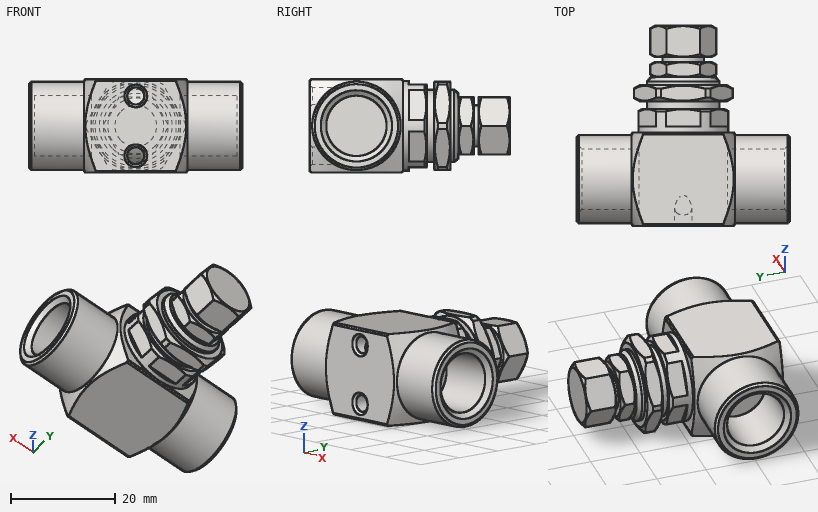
import cadquery as cq
import math

TAN30 = math.tan(math.radians(30))

overall_length = 41.0
overall_depth = 38.5
block_length = 19.95
block_side = 18.0
block_edge_chamfer = 0.35
port_diameter = 17.0
port_end_chamfer = 0.5
bore_diameter = 11.6
bore_mouth_diameter = 13.7
bore_mouth_depth = 1.02
bore_depth = 12.0

mount_hole_diameter = 3.3
mount_hole_mouth_diameter = 4.35
mount_hole_offset = 5.75
mount_hole_floor_diameter = 16.0

block_back = block_side / 2
collar_end = 10.1
body_hex_end = 13.55
nut_start = 14.92
nut_end = 18.12
thread_chamfer_start = 18.75
thread_end = 19.6
lock_nut_end = 22.55
knob_start = 23.45
spindle_end = overall_depth - block_side / 2

body_hex_flats = 15.95
collar_diameter = 17.3
body_hex_chamfer = 0.5
thread_diameter = 14.0
thread_tip_diameter = 12.5
panel_nut_flats = 17.0
panel_nut_diameter = 19.02
panel_nut_chamfer = 0.75
small_hex_flats = 11.03
small_hex_diameter = small_hex_flats / math.cos(math.radians(30))
small_hex_chamfer = 0.57
stem_diameter = 8.0


def turned_about_y(points):
    """Revolve a (radius, y) outline around the Y axis."""
    return cq.Workplane("XY").polyline(points).close().revolve(360, (0, 0), (0, 1))


def disc_y(diameter, start, end):
    """Plain cylinder along Y."""
    radius = diameter / 2
    return turned_about_y([(0, start), (radius, start), (radius, end), (0, end)])


def hex_nut(flats, corner_diameter, start, end, chamfer):
    """Hexagon along Y, flats facing +Z and -Z, corners turned down with 30 degree chamfers."""
    corner = corner_diameter / 2
    prism = (
        cq.Workplane("XZ", origin=(0, start, 0))
        .polygon(6, flats / math.cos(math.radians(30)))
        .extrude(start - end)
    )
    envelope = turned_about_y([
        (0, start),
        (corner - chamfer / TAN30, start),
        (corner, start + chamfer),
        (corner, end - chamfer),
        (corner - chamfer / TAN30, end),
        (0, end),
    ])
    return prism.intersect(envelope)


def make_block():
    """Square block, its ends turned to cones that start at the port diameter."""
    block = (
        cq.Workplane("XY")
        .box(block_length, block_side, block_side)
        .edges("|X")
        .chamfer(block_edge_chamfer)
    )
    end_x = block_length / 2
    port_radius = port_diameter / 2
    cone_apex_x = end_x + port_radius * TAN30
    cone_base_radius = cone_apex_x / TAN30
    double_cone = (
        cq.Workplane("XY")
        .polyline([(-cone_apex_x, 0), (0, cone_base_radius), (cone_apex_x, 0)])
        .close()
        .revolve(360, (0, 0), (1, 0))
    )
    return block.intersect(double_cone)


def make_ports():
    """Solid cylinder through the block that forms both ports."""
    return (
        cq.Workplane("YZ", origin=(-overall_length / 2, 0, 0))
        .circle(port_diameter / 2)
        .extrude(overall_length)
        .faces("<X or >X")
        .chamfer(port_end_chamfer)
    )


def make_port_bore():
    """Blind bore with a conical mouth, cut from the +X end."""
    end_x = overall_length / 2
    radius = bore_diameter / 2
    return (
        cq.Workplane("XY")
        .polyline([
            (end_x, 0),
            (end_x, bore_mouth_diameter / 2),
            (end_x - bore_mouth_depth, radius),
            (end_x - bore_depth, radius),
            (end_x - bore_depth, 0),
        ])
        .close()
        .revolve(360, (0, 0), (1, 0))
    )


def make_mount_hole():
    """Hole on the Y axis with a 45 degree mouth at the -Y face, before its floor is shaped."""
    face_y = -block_side / 2
    radius = mount_hole_diameter / 2
    mouth_radius = mount_hole_mouth_diameter / 2
    return turned_about_y([
        (0, face_y),
        (mouth_radius, face_y),
        (radius, face_y + mouth_radius - radius),
        (radius, 0),
        (0, 0),
    ])


def make_spindle():
    """Collar, hexagons, thread, panel nut, lock nut and knob on the +Y side of the block."""
    collar = disc_y(collar_diameter, 0, collar_end)
    body_hex = hex_nut(body_hex_flats, collar_diameter, block_back, body_hex_end, body_hex_chamfer)
    thread_radius = thread_diameter / 2
    thread = turned_about_y([
        (0, collar_end),
        (thread_radius, collar_end),
        (thread_radius, thread_chamfer_start),
        (thread_tip_diameter / 2, thread_end),
        (0, thread_end),
    ])
    panel_nut = hex_nut(panel_nut_flats, panel_nut_diameter, nut_start, nut_end, panel_nut_chamfer)
    stem = disc_y(stem_diameter, collar_end, spindle_end)
    spindle = collar.union(body_hex).union(thread).union(panel_nut).union(stem)
    for start, end in ((thread_end, lock_nut_end), (knob_start, spindle_end)):
        small_hex = hex_nut(small_hex_flats, small_hex_diameter, start, end, small_hex_chamfer)
        spindle = spindle.union(small_hex)
    return spindle


result = make_block().union(make_ports()).union(make_spindle())

port_bore = make_port_bore()
result = result.cut(port_bore).cut(port_bore.mirror("YZ"))

hole_floor = (
    cq.Workplane("YZ", origin=(-block_length / 2, 0, 0))
    .circle(mount_hole_floor_diameter / 2)
    .extrude(block_length)
)
for side in (-1, 1):
    mount_hole = make_mount_hole().translate((0, 0, side * mount_hole_offset))
    result = result.cut(mount_hole.cut(hole_floor))